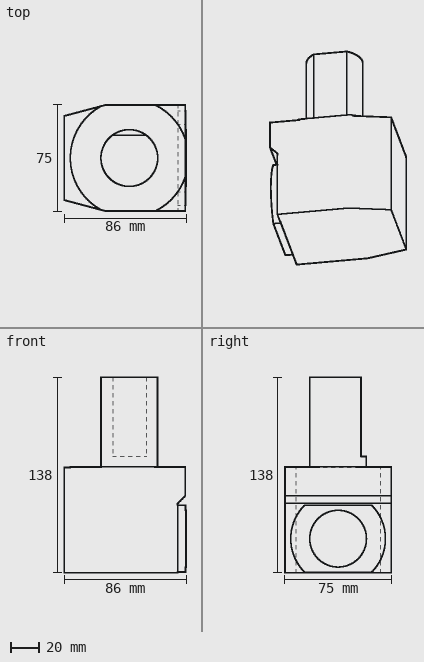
import cadquery as cq

block_length = 85.4
block_width = 75.0
back_width = 59.3
taper_length = 29.3
shoulder_height = 75.0
collar_height = 0.5
block_height = shoulder_height - collar_height

seat_x = 80.0
step_depth = block_length - seat_x
slope_bottom_z = 49.0
slope_top_z = slope_bottom_z + step_depth

shank_x = 46.0
collar_diameter = 83.2
shank_diameter = 40.0
total_height = 138.0
shank_length = total_height - shoulder_height
flat_y = 16.1
flat_start_z = 82.1

cap_z = 24.2
cap_diameter = 66.8
cap_height = 47.2
cap_thickness = 5.5
cap_face_diameter = 40.0
front_x = 86.0
cap_face_thickness = front_x - seat_x - cap_thickness


def make_block_prism(height):
    """Rectangular block tapered in width towards the back."""
    return (
        cq.Workplane("XY")
        .polyline([
            (0, -back_width / 2),
            (taper_length, -block_width / 2),
            (block_length, -block_width / 2),
            (block_length, block_width / 2),
            (taper_length, block_width / 2),
            (0, back_width / 2),
        ])
        .close()
        .extrude(height)
    )


def make_front_step():
    """Material removed from the lower front face."""
    return (
        cq.Workplane("XZ")
        .polyline([
            (seat_x, 0),
            (block_length, 0),
            (block_length, slope_top_z),
            (seat_x, slope_bottom_z),
        ])
        .close()
        .extrude(block_width / 2, both=True)
    )


def make_collar():
    """Low round collar, trimmed to the outline of the block."""
    disc = (
        cq.Workplane("XY", origin=(shank_x, 0, block_height))
        .circle(collar_diameter / 2)
        .extrude(collar_height)
    )
    return disc.intersect(make_block_prism(shoulder_height))


def make_shank():
    """Round shank with a flat on its +Y side."""
    shank = (
        cq.Workplane("XY", origin=(shank_x, 0, shoulder_height))
        .circle(shank_diameter / 2)
        .extrude(shank_length)
    )
    flat_cut = (
        cq.Workplane("XY", origin=(shank_x, flat_y, flat_start_z))
        .rect(shank_diameter, shank_diameter)
        .extrude(shank_length)
        .translate((0, shank_diameter / 2, 0))
    )
    return shank.cut(flat_cut)


def make_holder():
    block = make_block_prism(block_height).cut(make_front_step())
    return block.union(make_collar()).union(make_shank())


def make_cap():
    """Disc with upper and lower flats and a thin raised round face."""
    seat = cq.Workplane("YZ", origin=(seat_x, 0, cap_z))
    disc = seat.circle(cap_diameter / 2).extrude(cap_thickness)
    flats = seat.rect(cap_diameter, cap_height).extrude(cap_thickness)
    raised_face = (
        seat.workplane(offset=cap_thickness)
        .circle(cap_face_diameter / 2)
        .extrude(cap_face_thickness)
    )
    return disc.intersect(flats).union(raised_face)


holder = make_holder()
cap = make_cap()

result = cq.Compound.makeCompound([holder.solids().val(), cap.solids().val()])